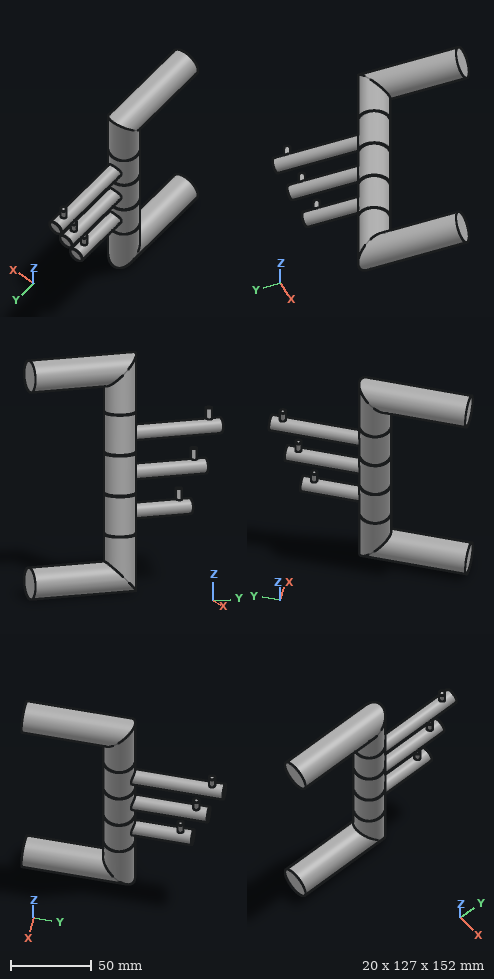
import cadquery as cq

total_height = 152.0
tube_diameter = 20.0
handle_reach = 60.0

segment_height = 25.0
segment_gap = 1.0
elbow_gap = 0.8
segment_pitch = segment_height + segment_gap

arm_diameter = 10.0
arm_pitch = 25.0
middle_arm_reach = 57.0
arm_reach_step = 10.0
peg_diameter = 4.0
peg_height = 12.0
peg_setback = 7.9
edge_chamfer = 0.3

middle_height = total_height / 2
leg_offset = (total_height - tube_diameter) / 2
elbow_start_offset = segment_pitch + segment_height / 2 + elbow_gap


def make_elbow(side):
    """Mitred tube from the post to a handle leg; side is 1 for upper, -1 for lower."""
    start_z = middle_height + side * elbow_start_offset
    corner_z = middle_height + side * leg_offset
    path = cq.Workplane("YZ").moveTo(0, start_z).lineTo(0, corner_z).lineTo(-handle_reach, corner_z)
    profile = cq.Workplane("XY", origin=(0, 0, start_z)).circle(tube_diameter / 2)
    return profile.sweep(path, transition="right")


def make_arm(reach, axis_z):
    """Round arm pointing to +Y with a chamfered end."""
    arm = cq.Workplane("XZ", origin=(0, 0, axis_z)).circle(arm_diameter / 2).extrude(-reach)
    return arm.faces(">Y").chamfer(edge_chamfer)


def make_peg(y, axis_z):
    """Upright peg with a chamfered top, rooted on the arm axis."""
    peg = cq.Workplane("XY", origin=(0, y, axis_z)).circle(peg_diameter / 2).extrude(peg_height)
    return peg.faces(">Z").chamfer(edge_chamfer)


def make_segment(level):
    """Post segment with its arm and peg; level counts upwards from the middle segment."""
    bottom_z = middle_height + level * segment_pitch - segment_height / 2
    arm_z = middle_height + level * arm_pitch
    arm_reach = middle_arm_reach + level * arm_reach_step
    post = cq.Workplane("XY", origin=(0, 0, bottom_z)).circle(tube_diameter / 2).extrude(segment_height)
    arm = make_arm(arm_reach, arm_z)
    peg = make_peg(arm_reach - peg_setback, arm_z)
    return post.union(arm).union(peg)


elbows = [make_elbow(side) for side in (1, -1)]
segments = [make_segment(level) for level in (-1, 0, 1)]

result = cq.Compound.makeCompound([body.val() for body in elbows + segments])